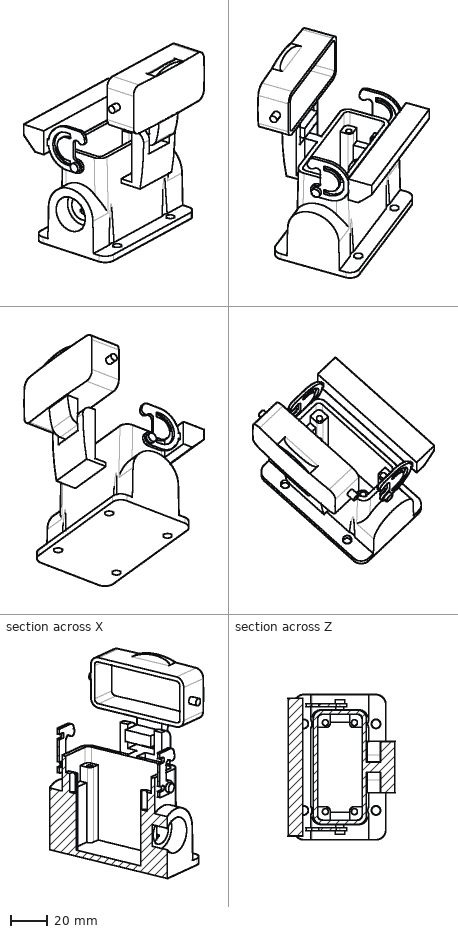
import cadquery as cq
import math

WALL = 2.5
CORNER_R = 5.0
BODY_HALF_Y = 31.5
RIM_HALF_X = 14.7
RIM_Z = 57.1
CAVITY_HALF_Y = BODY_HALF_Y - WALL
CAVITY_HALF_X = RIM_HALF_X - WALL
CAVITY_CORNER_R = CORNER_R - WALL

BASE_HALF_X = 25.3
BASE_HALF_Y = 40.0
BASE_H = 3.8
BASE_CORNER_R = 5.7
FOOT_HALF_X = 15.9
SCREW_X = 19.8
SCREW_Y = 23.8
SCREW_R = 2.4
SCREW_CLEARANCE_R = 4.5

ENTRY_Z = 23.1
ENTRY_R = 7.1
ENTRY_BORE_R = 10.1
ENTRY_BORE_DEPTH = 10.2

POST_TOP_Z = 47.7
POST_INNER_X = 5.4
POST_INNER_Y = 21.8
POST_CORNER_R = 2.3
POST_HOLE_X = 8.0
POST_HOLE_Y = 24.4
POST_HOLE_R = 1.6
POST_HOLE_DEPTH = 11.0
LEDGE_INNER_Y = 24.7

BRACKET_X = 22.2
BRACKET_BOTTOM_Z = 36.9
BRACKET_TOP_Z = 71.1
BRACKET_HALF_Y = 14.1
BRACKET_SLOT_HALF_Y = 9.0
BRACKET_FOOT_X = 28.2
BRACKET_BACK_MID = (30.0, 51.0)
BRACKET_BACK_TOP = (30.7, 65.7)
BRACKET_CROWN_MID = (28.9, 69.5)
BRACKET_CROWN_X = 25.5
FLANGE_TOP_Z = 39.4
RIB_HALF_Y = 2.8
RIB_FILLET_R = 4.0

LEVER_INNER_Y = 33.2
LEVER_OUTER_Y = 35.0
DISC_X = -6.6
DISC_Z = 59.0
DISC_R = 12.9
HOOK_X = 1.8
HOOK_R = 3.7
HOOK_TIP = (3.7, 64.4)
EDGE_X = -2.1
EDGE_FILLET_R = 1.8
CATCH_R = 2.2
CATCH_Z = 63.8
LOBE_R = 3.8
SLOT_R = 8.2
SLOT_W = 3.0
SLOT_END_X = -4.0
SLOT_END_FILLET = 0.9
PIVOT_R = 2.2
PIVOT_HEAD_R = 2.6
PIVOT_HEAD_Y = 36.9
NECK_HALF_Z = 1.9
NECK_END_X = -18.4
BAR_OUTER_X = -34.4
BAR_INNER_X = -20.4
BAR_TOP_Z = 67.0
BAR_BOTTOM_Z = 52.6
BAR_HALF_Y = 37.9
BAR_CHAMFER = 8.0

LID_RIM_X = 18.8
LID_BACK_X = 38.3
LID_Z = 92.6
LID_DOME_SAG_Y = 0.9
LID_DOME_SAG_Z = 0.5
LID_PIN_X = 25.7
LID_PIN_R = 2.1
LID_PIN_END_Y = 36.4
TAB_HALF_Y = 12.5
TAB_TOP_Z = 109.6
TAB_START_X = 31.2
TAB_CREST_X = 35.0
TAB_BACK_LEAN = 0.4
ARM_HALF_Y = 8.5
ARM_INNER_X = 30.1
ARM_BACK_X = 37.0
ARM_BACK_MID = (36.4, 71.8)
ARM_BACK_END = (35.0, 65.7)
ARM_HEEL_MID = (33.1, 63.2)
ARM_HEEL_X = 29.8
LEG_X = 19.6
LEG_TOP_Z = 68.7
LEG_BOTTOM_Z = 61.9


def box(x0, x1, y0, y1, z0, z1):
    """Block between opposite corner coordinates."""
    return cq.Workplane("XY").box(x1 - x0, y1 - y0, z1 - z0, centered=False).translate((x0, y0, z0))


def prism_along_y(outline, y0, y1):
    """Extrude an outline drawn in X and Z from y0 to y1."""
    return outline.extrude(y0 - y1).translate((0, y0, 0))


def rod_along_y(x, z, radius, y0, y1):
    """Round rod parallel to Y."""
    return prism_along_y(cq.Workplane("XZ").center(x, z).circle(radius), y0, y1)


def draft_angle():
    """Inward lean of the housing walls."""
    return math.atan((FOOT_HALF_X - RIM_HALF_X) / (RIM_Z - BASE_H))


def entry_boss_r():
    """Radius of the entry boss, tangent to the drafted walls."""
    half_x = FOOT_HALF_X - (ENTRY_Z - BASE_H) * math.tan(draft_angle())
    return half_x * math.cos(draft_angle())


def make_base():
    plate = box(-BASE_HALF_X, BASE_HALF_X, -BASE_HALF_Y, BASE_HALF_Y, 0, BASE_H)
    return plate.edges("|Z").fillet(BASE_CORNER_R)


def make_shell():
    """Solid block, drafted across X, with rounded upright corners."""
    outline = cq.Workplane("XZ").polyline([
        (-FOOT_HALF_X, BASE_H), (FOOT_HALF_X, BASE_H), (RIM_HALF_X, RIM_Z), (-RIM_HALF_X, RIM_Z),
    ]).close()
    block = prism_along_y(outline, -BODY_HALF_Y, BODY_HALF_Y)
    return block.edges("not(#Z or |Y)").fillet(CORNER_R)


def make_entry_boss():
    """Round-topped block running the full length of the base."""
    radius = entry_boss_r()
    draft = draft_angle()
    tangent_x = radius * math.cos(draft)
    tangent_z = ENTRY_Z + radius * math.sin(draft)
    outline = (
        cq.Workplane("XZ")
        .moveTo(-FOOT_HALF_X, BASE_H)
        .lineTo(FOOT_HALF_X, BASE_H)
        .lineTo(tangent_x, tangent_z)
        .threePointArc((0, ENTRY_Z + radius), (-tangent_x, tangent_z))
        .close()
    )
    return prism_along_y(outline, -BASE_HALF_Y, BASE_HALF_Y)


def make_cavity():
    space = box(-CAVITY_HALF_X, CAVITY_HALF_X, -CAVITY_HALF_Y, CAVITY_HALF_Y, BASE_H, RIM_Z)
    return space.edges("|Z").fillet(CAVITY_CORNER_R)


def make_ledges():
    """Step between the posts at each end of the cavity, as high as the entry boss."""
    end_gap = box(-CAVITY_HALF_X, CAVITY_HALF_X, -LEDGE_INNER_Y, LEDGE_INNER_Y, BASE_H, RIM_Z)
    span = box(-POST_INNER_X, POST_INNER_X, -BODY_HALF_Y, BODY_HALF_Y, BASE_H, ENTRY_Z + entry_boss_r())
    return make_cavity().cut(end_gap).intersect(span)


def make_post(x_side, y_side):
    """Drilled insert post filling one corner of the cavity."""
    post = (
        cq.Workplane("XY", origin=(0, 0, BASE_H))
        .center(x_side * (POST_INNER_X + RIM_HALF_X) / 2, y_side * (POST_INNER_Y + BODY_HALF_Y) / 2)
        .rect(RIM_HALF_X - POST_INNER_X, BODY_HALF_Y - POST_INNER_Y)
        .extrude(POST_TOP_Z - BASE_H)
        .edges("|Z").fillet(POST_CORNER_R)
        .intersect(make_cavity())
    )
    hole = (
        cq.Workplane("XY", origin=(x_side * POST_HOLE_X, y_side * POST_HOLE_Y, POST_TOP_Z))
        .circle(POST_HOLE_R)
        .extrude(-POST_HOLE_DEPTH)
    )
    return post.cut(hole)


def make_screw_cuts():
    """Base screw holes with the screw-head clearance above them."""
    corners = [(x, y) for x in (-SCREW_X, SCREW_X) for y in (-SCREW_Y, SCREW_Y)]
    holes = cq.Workplane("XY").pushPoints(corners).circle(SCREW_R).extrude(BASE_H)
    clearance = (
        cq.Workplane("XY", origin=(0, 0, BASE_H))
        .pushPoints(corners)
        .circle(SCREW_CLEARANCE_R)
        .extrude(BRACKET_BOTTOM_Z - BASE_H)
    )
    return holes.union(clearance)


def make_entry_cut():
    """Stepped cable hole, running on through the near ledge and posts."""
    bore = rod_along_y(0, ENTRY_Z, ENTRY_BORE_R, -BASE_HALF_Y, -BASE_HALF_Y + ENTRY_BORE_DEPTH)
    return bore.union(rod_along_y(0, ENTRY_Z, ENTRY_R, -BASE_HALF_Y, -POST_INNER_Y))


def make_bracket():
    """Slotted hinge plate carried on a ribbed flange."""
    outline = (
        cq.Workplane("XZ")
        .moveTo(BRACKET_X, BRACKET_BOTTOM_Z)
        .lineTo(BRACKET_FOOT_X, BRACKET_BOTTOM_Z)
        .threePointArc(BRACKET_BACK_MID, BRACKET_BACK_TOP)
        .threePointArc(BRACKET_CROWN_MID, (BRACKET_CROWN_X, BRACKET_TOP_Z))
        .lineTo(BRACKET_X, BRACKET_TOP_Z)
        .close()
    )
    plate = prism_along_y(outline, -BRACKET_HALF_Y, BRACKET_HALF_Y)
    slot = box(BRACKET_X, LID_BACK_X, -BRACKET_SLOT_HALF_Y, BRACKET_SLOT_HALF_Y, RIM_Z, BRACKET_TOP_Z)

    rib_foot = RIB_HALF_Y + RIB_FILLET_R
    fillet_mid = RIB_FILLET_R * (1 - math.sqrt(0.5))
    section = (
        cq.Workplane("YZ", origin=(CAVITY_HALF_X, 0, 0))
        .moveTo(0, BRACKET_BOTTOM_Z)
        .lineTo(BRACKET_HALF_Y, BRACKET_BOTTOM_Z)
        .lineTo(BRACKET_HALF_Y, FLANGE_TOP_Z)
        .lineTo(rib_foot, FLANGE_TOP_Z)
        .threePointArc(
            (RIB_HALF_Y + fillet_mid, FLANGE_TOP_Z + fillet_mid),
            (RIB_HALF_Y, FLANGE_TOP_Z + RIB_FILLET_R),
        )
        .lineTo(RIB_HALF_Y, RIM_Z)
        .lineTo(0, RIM_Z)
        .mirrorY()
    )
    ribbed_flange = section.extrude(BRACKET_X - CAVITY_HALF_X)
    return plate.cut(slot).union(ribbed_flange)


def lever_plate_outline():
    top_z = DISC_Z + DISC_R
    lobe_z = DISC_Z - DISC_R + LOBE_R
    catch_x = EDGE_X + CATCH_R
    catch_end = CATCH_R * math.sqrt(0.5)
    fillet_mid = EDGE_FILLET_R * (1 - math.sqrt(0.5))
    fillet_z = lobe_z + LOBE_R
    return (
        cq.Workplane("XZ")
        .moveTo(DISC_X, DISC_Z - DISC_R)
        .threePointArc((DISC_X - DISC_R, DISC_Z), (DISC_X, top_z))
        .lineTo(HOOK_X, top_z)
        .threePointArc((HOOK_X + HOOK_R * math.sqrt(0.5), top_z - HOOK_R * (1 - math.sqrt(0.5))),
                       (HOOK_X + HOOK_R, top_z - HOOK_R))
        .threePointArc(HOOK_TIP, (catch_x + catch_end, CATCH_Z + catch_end))
        .threePointArc((catch_x, CATCH_Z + CATCH_R), (EDGE_X, CATCH_Z))
        .lineTo(EDGE_X, fillet_z + EDGE_FILLET_R)
        .threePointArc((EDGE_X + fillet_mid, fillet_z + fillet_mid), (EDGE_X + EDGE_FILLET_R, fillet_z))
        .lineTo(0, fillet_z)
        .threePointArc((LOBE_R, lobe_z), (0, DISC_Z - DISC_R))
        .close()
    )


def spring_slot_outline():
    """C-shaped slot with straight ends."""
    outer = SLOT_R + SLOT_W / 2
    inner = SLOT_R - SLOT_W / 2
    return (
        cq.Workplane("XZ")
        .moveTo(SLOT_END_X, DISC_Z + outer)
        .lineTo(DISC_X, DISC_Z + outer)
        .threePointArc((DISC_X - outer, DISC_Z), (DISC_X, DISC_Z - outer))
        .lineTo(SLOT_END_X, DISC_Z - outer)
        .lineTo(SLOT_END_X, DISC_Z - inner)
        .lineTo(DISC_X, DISC_Z - inner)
        .threePointArc((DISC_X - inner, DISC_Z), (DISC_X, DISC_Z + inner))
        .lineTo(SLOT_END_X, DISC_Z + inner)
        .close()
    )


def make_lever_side():
    """Slotted plate, pivot and neck at the +Y end."""
    slot = prism_along_y(spring_slot_outline(), LEVER_INNER_Y, LEVER_OUTER_Y)
    slot = slot.edges("|Y and >X").fillet(SLOT_END_FILLET)
    plate = prism_along_y(lever_plate_outline(), LEVER_INNER_Y, LEVER_OUTER_Y).cut(slot)
    neck = box(BAR_INNER_X, NECK_END_X, LEVER_INNER_Y, LEVER_OUTER_Y,
               DISC_Z - NECK_HALF_Z, DISC_Z + NECK_HALF_Z)
    pivot_z = DISC_Z - DISC_R + LOBE_R
    pivot = rod_along_y(0, pivot_z, PIVOT_R, CAVITY_HALF_Y, LEVER_OUTER_Y)
    head = rod_along_y(0, pivot_z, PIVOT_HEAD_R, LEVER_OUTER_Y, PIVOT_HEAD_Y)
    return plate.union(neck).union(pivot).union(head)


def make_lever():
    bar_outline = cq.Workplane("XZ").polyline([
        (BAR_INNER_X, BAR_BOTTOM_Z),
        (BAR_INNER_X, BAR_TOP_Z),
        (BAR_OUTER_X, BAR_TOP_Z),
        (BAR_OUTER_X, BAR_BOTTOM_Z + BAR_CHAMFER),
        (BAR_OUTER_X + BAR_CHAMFER, BAR_BOTTOM_Z),
    ]).close()
    bar = prism_along_y(bar_outline, -BAR_HALF_Y, BAR_HALF_Y)
    side = make_lever_side()
    return bar.union(side).union(side.mirror("XZ"))


def make_housing():
    body = make_base().union(make_shell()).union(make_entry_boss())
    body = body.cut(make_screw_cuts())
    body = body.union(make_bracket()).union(make_lever())
    body = body.cut(make_cavity()).union(make_ledges())
    for x_side in (-1, 1):
        for y_side in (-1, 1):
            body = body.union(make_post(x_side, y_side))
    return body.cut(make_entry_cut())


def make_dome(crown_x, half_y, half_z, corner_r):
    """Rounded block from the lid rim to a back that is crowned along both Y and Z."""
    block = box(LID_RIM_X, crown_x, -half_y, half_y, LID_Z - half_z, LID_Z + half_z)
    block = block.edges("|X").fillet(corner_r)
    turn_r = (BODY_HALF_Y ** 2 + LID_DOME_SAG_Y ** 2) / (2 * LID_DOME_SAG_Y)
    edge_x = crown_x - LID_DOME_SAG_Z
    crown = (
        cq.Workplane("XZ")
        .moveTo(crown_x - turn_r, LID_Z - RIM_HALF_X)
        .lineTo(edge_x, LID_Z - RIM_HALF_X)
        .threePointArc((crown_x, LID_Z), (edge_x, LID_Z + RIM_HALF_X))
        .lineTo(crown_x - turn_r, LID_Z + RIM_HALF_X)
        .close()
        .revolve(360, (crown_x - turn_r, 0, 0), (crown_x - turn_r, 1, 0))
    )
    return block.intersect(crown)


def make_tab():
    """Finger tab: scooped in front and arched along Y."""
    lid_top = LID_Z + RIM_HALF_X
    rise = TAB_TOP_Z - lid_top
    run = TAB_CREST_X - TAB_START_X
    scoop_r = (run ** 2 + rise ** 2) / (2 * rise)
    scoop_angle = math.asin(run / scoop_r) / 2
    scoop_mid = (
        TAB_START_X + scoop_r * math.sin(scoop_angle),
        lid_top + scoop_r * (1 - math.cos(scoop_angle)),
    )
    back_x = LID_BACK_X - LID_DOME_SAG_Z
    profile = (
        cq.Workplane("XZ")
        .moveTo(TAB_START_X, lid_top - WALL)
        .lineTo(TAB_START_X, lid_top)
        .threePointArc(scoop_mid, (TAB_CREST_X, TAB_TOP_Z))
        .lineTo(back_x - TAB_BACK_LEAN, TAB_TOP_Z)
        .lineTo(back_x, lid_top)
        .lineTo(back_x - WALL, lid_top - WALL)
        .close()
    )
    arch = (
        cq.Workplane("YZ", origin=(LID_RIM_X, 0, 0))
        .moveTo(-TAB_HALF_Y, lid_top - WALL)
        .lineTo(-TAB_HALF_Y, lid_top)
        .threePointArc((0, TAB_TOP_Z), (TAB_HALF_Y, lid_top))
        .lineTo(TAB_HALF_Y, lid_top - WALL)
        .close()
        .extrude(LID_BACK_X - LID_RIM_X)
    )
    return prism_along_y(profile, -TAB_HALF_Y, TAB_HALF_Y).intersect(arch)


def make_hinge_arm():
    """L-shaped arm whose leg passes between the bracket prongs."""
    lid_bottom = LID_Z - RIM_HALF_X
    outline = (
        cq.Workplane("XZ")
        .moveTo(ARM_INNER_X, lid_bottom)
        .lineTo(ARM_BACK_X, lid_bottom)
        .threePointArc(ARM_BACK_MID, ARM_BACK_END)
        .threePointArc(ARM_HEEL_MID, (ARM_HEEL_X, LEG_BOTTOM_Z))
        .lineTo(LEG_X, LEG_BOTTOM_Z)
        .lineTo(LEG_X, LEG_TOP_Z)
        .lineTo(ARM_INNER_X, LEG_TOP_Z)
        .close()
    )
    return prism_along_y(outline, -ARM_HALF_Y, ARM_HALF_Y)


def make_lid():
    shell = make_dome(LID_BACK_X, BODY_HALF_Y, RIM_HALF_X, CORNER_R)
    pocket = make_dome(LID_BACK_X - WALL, CAVITY_HALF_Y, RIM_HALF_X - WALL, CAVITY_CORNER_R)
    body = shell.union(make_tab()).union(make_hinge_arm()).cut(pocket)
    for y0, y1 in ((-LID_PIN_END_Y, -CAVITY_HALF_Y), (CAVITY_HALF_Y, LID_PIN_END_Y)):
        body = body.union(rod_along_y(LID_PIN_X, LID_Z, LID_PIN_R, y0, y1))
    return body


housing = make_housing().solids()
lid = make_lid().solids()

result = cq.Compound.makeCompound([housing.val(), lid.val()])